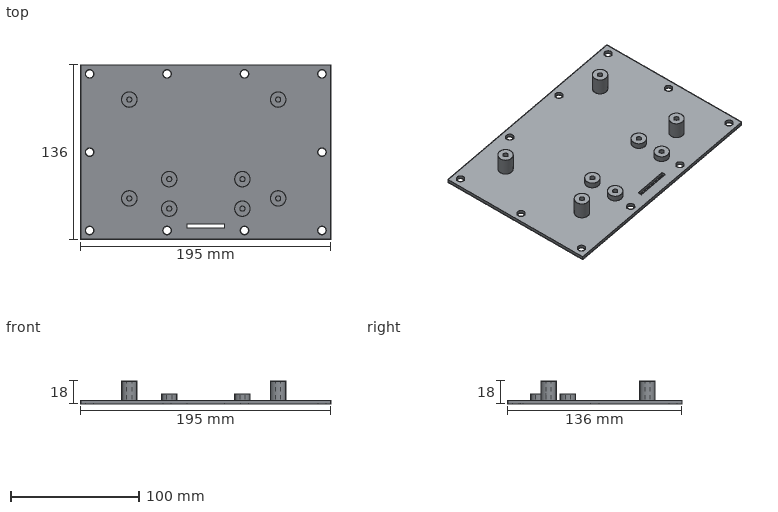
import cadquery as cq

PLATE_LENGTH = 195.0
PLATE_WIDTH = 136.0
PLATE_THICKNESS = 3.0

RIM_HOLE_DIAMETER = 6.35
RIM_HOLE_INSET = 7.0
RIM_HOLE_SPAN_X = PLATE_LENGTH - 2 * RIM_HOLE_INSET
RIM_HOLE_SPAN_Y = PLATE_WIDTH - 2 * RIM_HOLE_INSET
RIM_HOLES_PER_LONG_EDGE = 4

STANDOFF_DIAMETER = 12.0
STANDOFF_BORE = 4.0
TALL_STANDOFF_HEIGHT = 15.0
TALL_SPACING_X = 116.0
TALL_SPACING_Y = 77.0
TALL_CENTER = (-1.6, 2.5)
SHORT_STANDOFF_HEIGHT = 5.0
SHORT_SPACING_X = 57.0
SHORT_SPACING_Y = 23.0
SHORT_CENTER = (0.0, -32.5)

SLOT_LENGTH = 29.0
SLOT_WIDTH = 3.0
SLOT_CENTER = (0.0, -57.5)


def make_plate():
    return cq.Workplane("XY").box(
        PLATE_LENGTH, PLATE_WIDTH, PLATE_THICKNESS, centered=(True, True, False)
    )


def rim_hole_points():
    """Evenly spaced holes on both long edges plus one midway on each short edge."""
    half_x = RIM_HOLE_SPAN_X / 2
    half_y = RIM_HOLE_SPAN_Y / 2
    pitch = RIM_HOLE_SPAN_X / (RIM_HOLES_PER_LONG_EDGE - 1)
    points = [(-half_x, 0.0), (half_x, 0.0)]
    for index in range(RIM_HOLES_PER_LONG_EDGE):
        x = -half_x + index * pitch
        points += [(x, -half_y), (x, half_y)]
    return points


def cut_rim_holes(body):
    holes = (
        cq.Workplane("XY")
        .pushPoints(rim_hole_points())
        .circle(RIM_HOLE_DIAMETER / 2)
        .extrude(PLATE_THICKNESS)
    )
    return body.cut(holes)


def add_standoffs(body, center, spacing_x, spacing_y, height):
    """Four hollow posts on a rectangle; each bore stops at the plate's top face."""
    posts = (
        cq.Workplane("XY", origin=(center[0], center[1], PLATE_THICKNESS))
        .rect(spacing_x, spacing_y, forConstruction=True)
        .vertices()
        .circle(STANDOFF_DIAMETER / 2)
        .circle(STANDOFF_BORE / 2)
        .extrude(height)
    )
    return body.union(posts)


def cut_slot(body):
    slot = (
        cq.Workplane("XY")
        .center(*SLOT_CENTER)
        .rect(SLOT_LENGTH, SLOT_WIDTH)
        .extrude(PLATE_THICKNESS)
    )
    return body.cut(slot)


result = make_plate()
result = cut_rim_holes(result)
result = add_standoffs(result, TALL_CENTER, TALL_SPACING_X, TALL_SPACING_Y, TALL_STANDOFF_HEIGHT)
result = add_standoffs(result, SHORT_CENTER, SHORT_SPACING_X, SHORT_SPACING_Y, SHORT_STANDOFF_HEIGHT)
result = cut_slot(result)